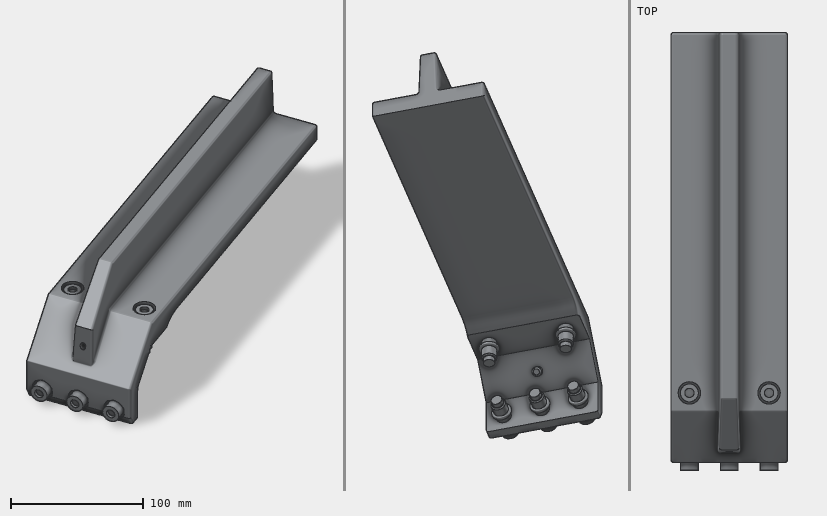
import cadquery as cq
import math

overall_length = 331.0
overall_height = 110.5
width = 88.0
edge_radius = 2.0

bolt_head_projection = 6.0
back_y = overall_length - bolt_head_projection

plate_thickness = 15.0
pad_thickness = 20.0
wall_thickness = 12.2
plate_end_y = 38.5

rib_height = 38.0
rib_bend_y = 47.5
rib_nose_y = 9.5
rib_half_width = 6.3
rib_side_draft = math.radians(2)
rib_nose_draft = math.radians(5)
nose_top_z = rib_height - (rib_bend_y - rib_nose_y)
nose_foot_y = (
    (rib_nose_y - (nose_top_z + plate_end_y) * math.tan(rib_nose_draft))
    / (1 - math.tan(rib_nose_draft))
)

leg_bottom_z = rib_height - overall_height
leg_chamfer_depth = 4.3
leg_chamfer_height = 7.5

pad_back_y = 65.2
pad_blend_length = 14.5

bolt_spacing = 30.0
leg_bolt_z = -60.5
plate_bolt_y = 52.5
counterbore_diameter = 17.0
leg_counterbore_depth = 3.0
plate_counterbore_depth = 10.3
head_diameter = 13.5
head_height = leg_counterbore_depth + bolt_head_projection
socket_diameter = 7.0
socket_depth = 2.5
shank_diameter = 11.5
shank_chamfer = 1.0
shank_projection = 16.5
tip_diameter = 8.5
tip_length = 4.0
ring_offset = 6.3
ring_diameter = 15.5
ring_half_height = 1.5

pin_diameter = 7.3
pin_projection = 6.0
pin_chamfer = 1.3
pin_hole_diameter = 4.5
pin_hole_y = 8.3
pin_hole_z = -16.2


def make_plate():
    """Plate, sloped wall and front leg as one bent section of constant width."""
    inner_slope_shift = plate_end_y + wall_thickness * math.sqrt(2)
    blend_drop = pad_thickness - plate_thickness
    blend_radius = (pad_blend_length**2 + blend_drop**2) / (2 * blend_drop)
    blend_half_angle = math.asin(pad_blend_length / blend_radius) / 2
    blend_start_y = pad_back_y + pad_blend_length
    blend_middle = (
        blend_start_y - blend_radius * math.sin(blend_half_angle),
        -plate_thickness - blend_radius * (1 - math.cos(blend_half_angle)),
    )
    return (
        cq.Workplane("YZ")
        .moveTo(back_y, 0)
        .lineTo(plate_end_y, 0)
        .lineTo(0, -plate_end_y)
        .lineTo(0, leg_bottom_z + leg_chamfer_height)
        .lineTo(leg_chamfer_depth, leg_bottom_z)
        .lineTo(wall_thickness, leg_bottom_z)
        .lineTo(wall_thickness, wall_thickness - inner_slope_shift)
        .lineTo(inner_slope_shift - pad_thickness, -pad_thickness)
        .lineTo(pad_back_y, -pad_thickness)
        .threePointArc(blend_middle, (blend_start_y, -plate_thickness))
        .lineTo(back_y, -plate_thickness)
        .close()
        .extrude(width / 2, both=True)
    )


def make_rib():
    """Rib whose flanks and nose widen downwards, cut off inside the plate by the slope."""
    sink = wall_thickness / 2
    outline = (
        cq.Workplane("YZ")
        .polyline([
            (back_y, rib_height),
            (rib_bend_y, rib_height),
            (rib_nose_y, nose_top_z),
            (nose_foot_y, nose_foot_y - plate_end_y),
            (nose_foot_y + sink, nose_foot_y - plate_end_y - sink),
            (plate_end_y + sink, -sink),
            (back_y, -sink),
        ])
        .close()
        .extrude(width / 2, both=True)
    )
    foot_half_width = rib_half_width + overall_height * math.tan(rib_side_draft)
    section = (
        cq.Workplane("XZ")
        .polyline([
            (-rib_half_width, rib_height),
            (rib_half_width, rib_height),
            (foot_half_width, leg_bottom_z),
            (-foot_half_width, leg_bottom_z),
        ])
        .close()
        .extrude(-back_y)
    )
    return outline.intersect(section)


def is_rounded(edge):
    """True for the outer edges of the body and for the seam between rib and plate."""
    tolerance = 0.003
    start = edge.startPoint()
    end = edge.endPoint()
    centre = edge.Center()
    runs_across = abs(start.y - end.y) < tolerance and abs(start.z - end.z) < tolerance
    if runs_across:
        rounded_corners = [
            (back_y, rib_height),
            (rib_bend_y, rib_height),
            (back_y, 0),
            (plate_end_y, 0),
            (nose_foot_y, nose_foot_y - plate_end_y),
            (0, -plate_end_y),
        ]
        return any(math.dist((centre.y, centre.z), corner) < tolerance for corner in rounded_corners)
    behind_leg = centre.y > wall_thickness - tolerance
    below_pad = centre.z < tolerance - pad_thickness
    on_inner_bend = behind_leg and below_pad
    return not on_inner_bend


def make_body():
    """Plate and rib joined, with the outer edges and the rib seam rounded."""
    body = make_plate().union(make_rib())
    rounded_edges = [edge for edge in body.edges().vals() if is_rounded(edge)]
    return body.newObject(rounded_edges).fillet(edge_radius)


def make_bolt(wall, counterbore_depth):
    """Bolt along +Z, head at the bottom; Z = 0 is the outer face of the wall it passes."""
    head_z = counterbore_depth - head_height
    shank_end_z = wall + shank_projection
    ring_z = wall + ring_offset
    shank_radius = shank_diameter / 2
    return (
        cq.Workplane("XZ")
        .moveTo(0, head_z + socket_depth)
        .lineTo(socket_diameter / 2, head_z + socket_depth)
        .lineTo(socket_diameter / 2, head_z)
        .lineTo(head_diameter / 2, head_z)
        .lineTo(head_diameter / 2, counterbore_depth)
        .lineTo(shank_radius, counterbore_depth)
        .lineTo(shank_radius, ring_z - ring_half_height)
        .threePointArc((ring_diameter / 2, ring_z), (shank_radius, ring_z + ring_half_height))
        .lineTo(shank_radius, shank_end_z - shank_chamfer)
        .lineTo(shank_radius - shank_chamfer, shank_end_z)
        .lineTo(tip_diameter / 2, shank_end_z)
        .lineTo(tip_diameter / 2, shank_end_z + tip_length)
        .lineTo(0, shank_end_z + tip_length)
        .close()
        .revolve(360, (0, 0, 0), (0, 1, 0))
    )


def make_counterbore(depth):
    """Cutter for a head recess, along +Z from the outer face of the wall."""
    return cq.Workplane("XY").circle(counterbore_diameter / 2).extrude(depth)


def onto_plate(shape, x):
    """Turn a shape modelled along +Z to point down from the plate top."""
    return shape.rotate((0, 0, 0), (1, 0, 0), 180).translate((x, plate_bolt_y, 0))


def onto_leg(shape, x):
    """Turn a shape modelled along +Z to point backwards from the leg face."""
    return shape.rotate((0, 0, 0), (1, 0, 0), -90).translate((x, 0, leg_bolt_z))


def add_bolts(body):
    """Two bolts down through the pad and three backwards through the leg."""
    plate_bolt = make_bolt(pad_thickness, plate_counterbore_depth)
    plate_counterbore = make_counterbore(plate_counterbore_depth)
    for x in (-bolt_spacing, bolt_spacing):
        body = body.cut(onto_plate(plate_counterbore, x)).union(onto_plate(plate_bolt, x))
    leg_bolt = make_bolt(wall_thickness, leg_counterbore_depth)
    leg_counterbore = make_counterbore(leg_counterbore_depth)
    for x in (-bolt_spacing, 0, bolt_spacing):
        body = body.cut(onto_leg(leg_counterbore, x)).union(onto_leg(leg_bolt, x))
    return body


def add_pin(body):
    """Pin square to the sloped wall, with a coaxial blind hole from the rib nose to the pin."""
    axis = cq.Vector(0, 1, -1).normalized()
    hole_mouth = cq.Vector(0, pin_hole_y, pin_hole_z)
    depth_to_slope = (pin_hole_z - pin_hole_y + plate_end_y) / math.sqrt(2)
    hole_start = hole_mouth - axis * pin_hole_diameter
    hole = (
        cq.Workplane(cq.Plane(hole_start, xDir=(1, 0, 0), normal=axis))
        .circle(pin_hole_diameter / 2)
        .extrude(pin_hole_diameter + depth_to_slope)
    )
    pin_start = hole_mouth + axis * depth_to_slope
    pin = (
        cq.Workplane(cq.Plane(pin_start, xDir=(1, 0, 0), normal=axis))
        .circle(pin_diameter / 2)
        .extrude(wall_thickness + pin_projection)
        .faces(cq.selectors.DirectionMinMaxSelector(axis))
        .chamfer(pin_chamfer)
    )
    return body.cut(hole).union(pin)


result = add_pin(add_bolts(make_body()))